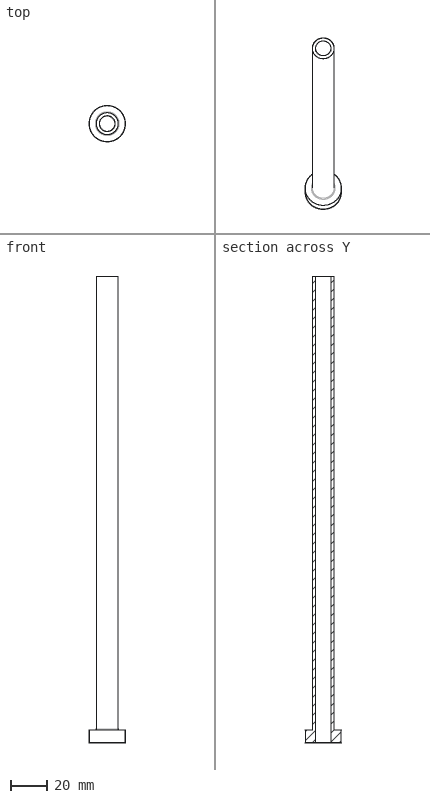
import cadquery as cq

total_length = 257.0
head_diameter = 20.0
head_height = 7.2
tube_diameter = 12.0
bore_diameter = 8.5
root_fillet = 0.5

head_radius = head_diameter / 2
tube_radius = tube_diameter / 2
bore_radius = bore_diameter / 2

half_section = (
    cq.Workplane("XZ")
    .moveTo(bore_radius, 0)
    .lineTo(head_radius, 0)
    .lineTo(head_radius, head_height)
    .lineTo(tube_radius + root_fillet, head_height)
    .radiusArc((tube_radius, head_height + root_fillet), root_fillet)
    .lineTo(tube_radius, total_length)
    .lineTo(bore_radius, total_length)
    .close()
)

result = half_section.revolve(360, (0, 0, 0), (0, 1, 0))